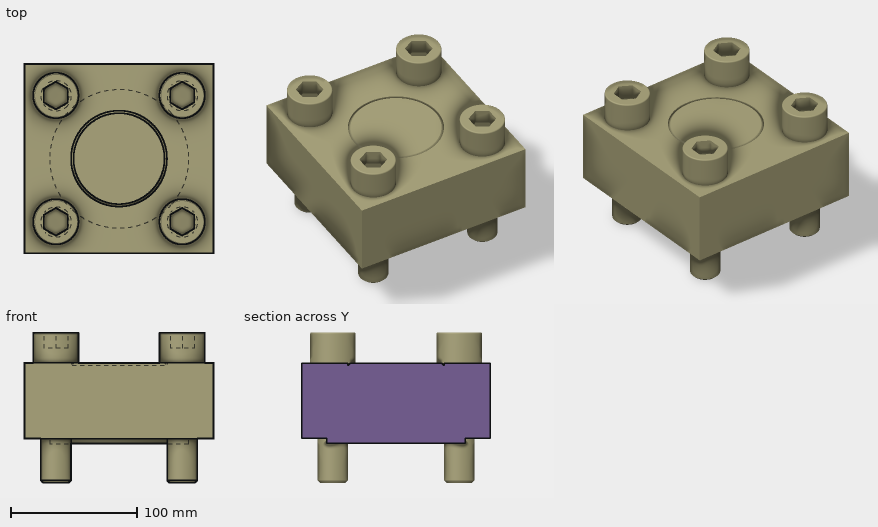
import cadquery as cq
import math

block_side = 150.0
block_height = 60.0

spigot_diameter = 110.0
spigot_height = 4.0

groove_outer_diameter = 76.1
groove_width = 2.0
groove_depth = 2.0

screw_spacing = 100.0
shank_diameter = 24.0
shank_projection = 35.0
shank_chamfer = 1.84
head_diameter = 36.0
head_height = 24.0
head_fillet = 1.0
socket_across_flats = 19.0
socket_depth = 12.0


def make_block():
    return cq.Workplane("XY").box(block_side, block_side, block_height, centered=(True, True, False))


def make_spigot():
    return cq.Workplane("XY").circle(spigot_diameter / 2).extrude(-spigot_height)


def make_weld_groove():
    """Ring with a vertical outer wall and an inner wall that slopes down and outward."""
    outer_radius = groove_outer_diameter / 2
    profile = [
        (outer_radius - groove_width, block_height),
        (outer_radius, block_height),
        (outer_radius, block_height - groove_depth),
    ]
    return cq.Workplane("XZ").polyline(profile).close().revolve(360, (0, 0, 0), (0, 1, 0))


def make_shank():
    """Shank below the block, chamfered at its free end."""
    shank = cq.Workplane("XY").circle(shank_diameter / 2).extrude(-shank_projection)
    return shank.faces("<Z").chamfer(shank_chamfer)


def make_head():
    """Rounded head standing on the block, with a hexagon socket that has two corners along Y."""
    head = cq.Workplane("XY").workplane(offset=block_height).circle(head_diameter / 2).extrude(head_height)
    head = head.faces(">Z").fillet(head_fillet)
    across_corners = socket_across_flats / math.cos(math.pi / 6)
    socket = (
        cq.Workplane("XY")
        .workplane(offset=block_height + head_height - socket_depth)
        .transformed(rotate=(0, 0, 90))
        .polygon(6, across_corners)
        .extrude(socket_depth)
    )
    return head.cut(socket)


result = make_block().union(make_spigot()).cut(make_weld_groove())

shank = make_shank()
head = make_head()
for x in (-screw_spacing / 2, screw_spacing / 2):
    for y in (-screw_spacing / 2, screw_spacing / 2):
        result = result.union(shank.translate((x, y, 0)))
        result = result.union(head.translate((x, y, 0)))